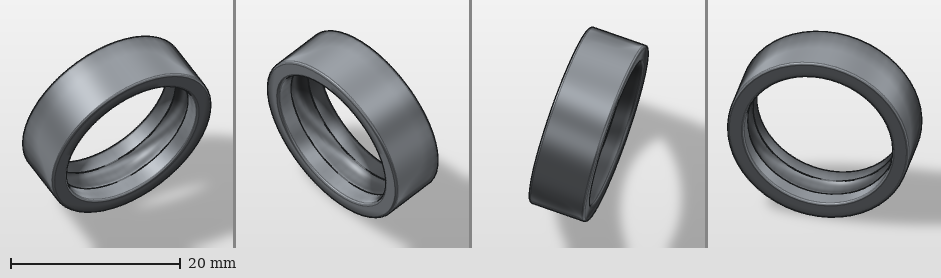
import cadquery as cq

outer_diameter = 22.0
bore_diameter = 18.0
width = 7.0
edge_radius = 0.26

groove_width = 2.73
groove_depth = 0.53
groove_lip_radius = 0.13

outer_radius = outer_diameter / 2
bore_radius = bore_diameter / 2
half_width = width / 2
half_groove = groove_width / 2


def make_grooved_ring():
    """Revolve the ring section, with its ball groove, about the X axis."""
    section = (
        cq.Workplane("XZ")
        .moveTo(-half_width, -outer_radius)
        .lineTo(half_width, -outer_radius)
        .lineTo(half_width, -bore_radius)
        .lineTo(half_groove, -bore_radius)
        .threePointArc((0, -bore_radius - groove_depth), (-half_groove, -bore_radius))
        .lineTo(-half_width, -bore_radius)
        .close()
    )
    return section.revolve(360, (0, 0, 0), (1, 0, 0))


def round_end_edges(ring):
    """Round the outer and bore edges of both end faces."""
    return ring.faces("<X or >X").edges().fillet(edge_radius)


def round_groove_lips(ring):
    """Blend the two circular lips where the groove meets the bore."""
    lip_centres = cq.selectors.BoxSelector(
        (-half_width / 2, -bore_radius / 2, -bore_radius / 2),
        (half_width / 2, bore_radius / 2, bore_radius / 2),
    )
    return ring.edges(lip_centres).fillet(groove_lip_radius)


result = round_groove_lips(round_end_edges(make_grooved_ring()))